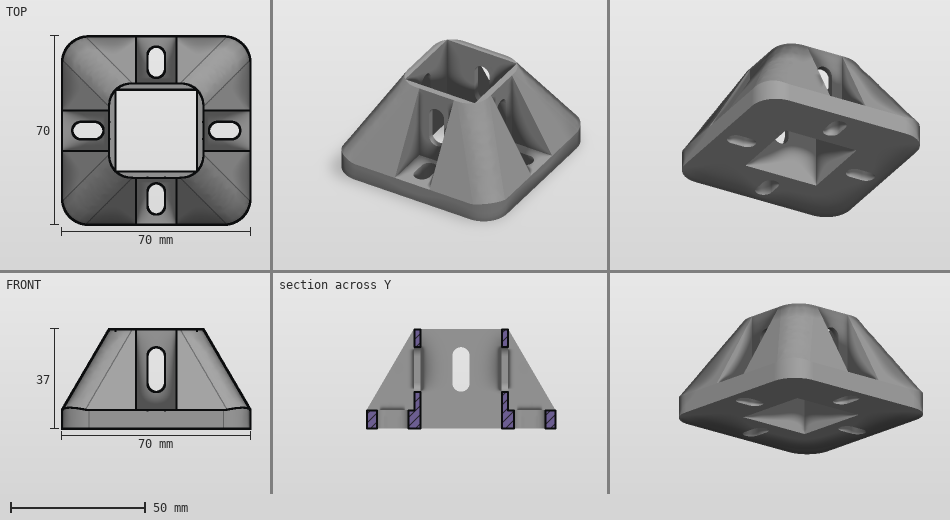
import cadquery as cq

base_size = 70.0
base_height = 7.0
corner_radius = 10.0

total_height = 37.0
socket_outer = base_size / 2
socket_opening = 30.2

side_count = 4
pocket_width = 15.0
slot_width = 6.4
base_slot_length = 11.5
base_slot_offset = 25.35
wall_slot_length = 16.5
wall_slot_height = 22.0

pocket_depth = (base_size - socket_outer) / 2
skirt_height = total_height - base_height
wall_thickness = (socket_outer - socket_opening) / 2
wall_slot_offset = (socket_outer + socket_opening) / 4
cut_margin = 1.0


def tapered_skirt():
    """Square frustum from the base edge up to the socket rim, with rounded hips."""
    frustum = (
        cq.Workplane("XY")
        .workplane(offset=base_height)
        .rect(base_size, base_size)
        .workplane(offset=skirt_height)
        .rect(socket_outer, socket_outer)
        .loft(ruled=True)
    )
    return frustum.edges("not #Z").fillet(corner_radius)


def rounded_body():
    """Base plate and skirt, both trimmed to the vertical rounded corners."""
    base = cq.Workplane("XY").rect(base_size, base_size).extrude(base_height)
    envelope = (
        cq.Workplane("XY")
        .rect(base_size, base_size)
        .extrude(total_height)
        .edges("|Z")
        .fillet(corner_radius)
    )
    return base.union(tapered_skirt()).intersect(envelope)


def side_cutter():
    """Pocket and both screw slots for the +X side."""
    pocket = (
        cq.Workplane("XY")
        .box(pocket_depth, pocket_width, skirt_height, centered=(False, True, False))
        .translate((socket_outer / 2, 0, base_height))
    )
    base_slot = (
        cq.Workplane("XY")
        .center(base_slot_offset, 0)
        .slot2D(base_slot_length, slot_width)
        .extrude(base_height + cut_margin)
    )
    wall_slot = (
        cq.Workplane("YZ")
        .workplane(offset=wall_slot_offset)
        .center(0, wall_slot_height)
        .slot2D(wall_slot_length, slot_width, 90)
        .extrude(wall_thickness / 2 + cut_margin, both=True)
    )
    return pocket.union(base_slot).union(wall_slot)


def socket_cutter():
    """Square opening running through the full height."""
    return cq.Workplane("XY").rect(socket_opening, socket_opening).extrude(total_height)


result = rounded_body().cut(socket_cutter())

for side in range(side_count):
    turn = 360 / side_count * side
    result = result.cut(side_cutter().rotate((0, 0, 0), (0, 0, 1), turn))